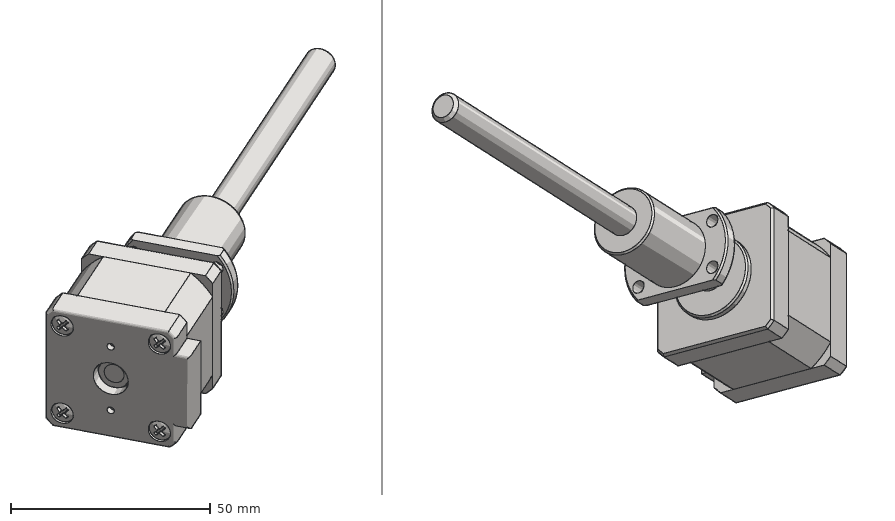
import cadquery as cq
import math


motor_width = 35.0
cap_diameter = 46.8
rear_edge_round = 1.0
front_edge_chamfer = 0.6
rear_cap_length = 8.0
stator_length = 19.5
front_cap_length = 7.2
stator_diameter = 42.0
pilot_diameter = 22.0
pilot_height = 1.9
small_chamfer = 0.5
stator_front = rear_cap_length + stator_length
motor_front = stator_front + front_cap_length
pilot_front = motor_front + pilot_height

tab_reach = 3.7
tab_height = 21.7

rear_bore_diameter = 9.3
rear_boss_diameter = 8.3
rear_boss_depth = 2.5
rear_groove_depth = 3.5
pin_hole_diameter = 1.9
pin_hole_depth = 1.9
pin_hole_offset = 9.4

cover_screw_offset = 13.0
head_diameter = 5.9
head_seat_depth = 3.0
head_edge_depth = 0.8
shank_diameter = 3.0
shank_length = 9.5
cross_length = 3.5
cross_width = 0.8
cross_depth = 1.3

rod_diameter = 8.0
rod_end = 159.6
rod_end_chamfer = 1.0
journal_diameter = 5.3

nut_rear = 48.7
nut_flange_thickness = 4.0
nut_flange_diameter = 31.0
nut_flange_height = 20.0
nut_barrel_diameter = 18.0
nut_barrel_length = 24.0
nut_hole_diameter = 3.4
nut_hole_circle = 25.5
nut_hole_angle = 30


def y_plane(y):
    """Sketch plane at height y: local x is X, local y is Z and extrusion runs toward +Y."""
    return cq.Workplane(cq.Plane(origin=(0, y, 0), xDir=(1, 0, 0), normal=(0, -1, 0)))


def cylinder(diameter, start, end):
    return y_plane(start).circle(diameter / 2).extrude(start - end)


def box_along_y(width, height, start, end):
    return y_plane(start).rect(width, height).extrude(start - end)


def rounded_square_block(diameter, start, end):
    """Square block whose corners are turned down to the given diameter."""
    return box_along_y(motor_width, motor_width, start, end).intersect(cylinder(diameter, start, end))


def cover_screw_places():
    return [(sx * cover_screw_offset, 0, sz * cover_screw_offset) for sx in (-1, 1) for sz in (-1, 1)]


def make_screw_blank():
    """Screw without its cross recess, on the Y axis, with the crown of the domed head at Y = 0."""
    radius = head_diameter / 2
    shank_radius = shank_diameter / 2
    dome_radius = (radius**2 + head_edge_depth**2) / (2 * head_edge_depth)
    mid_radius = radius / 2
    mid_depth = dome_radius - math.sqrt(dome_radius**2 - mid_radius**2)
    shank_end = head_seat_depth + shank_length
    return (
        cq.Workplane("XY")
        .moveTo(0, 0)
        .threePointArc((mid_radius, mid_depth), (radius, head_edge_depth))
        .lineTo(radius, head_seat_depth)
        .lineTo(shank_radius, head_seat_depth)
        .lineTo(shank_radius, shank_end)
        .lineTo(0, shank_end)
        .close()
        .revolve(360, (0, 0, 0), (0, 1, 0))
    )


def make_cover_screw():
    screw = make_screw_blank()
    for length, width in ((cross_length, cross_width), (cross_width, cross_length)):
        screw = screw.cut(box_along_y(length, width, 0, cross_depth).rotate((0, 0, 0), (0, 1, 0), 45))
    return screw


def cut_screw_holes(body):
    """Cut the stepped holes that take the cover screws."""
    shank_end = head_seat_depth + shank_length
    hole = cylinder(head_diameter, 0, head_seat_depth).union(cylinder(shank_diameter, 0, shank_end))
    for place in cover_screw_places():
        body = body.cut(hole.translate(place))
    return body


def make_front_cap():
    cap = rounded_square_block(cap_diameter, stator_front, motor_front)
    cap = cap.faces(">Y").edges().chamfer(front_edge_chamfer)
    pilot = cylinder(pilot_diameter, motor_front, pilot_front).faces(">Y").edges().chamfer(small_chamfer)
    return cap.union(pilot).cut(cylinder(journal_diameter, stator_front, pilot_front))


def make_stator():
    stator = rounded_square_block(stator_diameter, rear_cap_length, stator_front)
    stator = stator.cut(cylinder(journal_diameter, rear_cap_length, stator_front))
    return cut_screw_holes(stator)


def make_rear_cover():
    tab_width = motor_width / 2 + tab_reach
    tab = box_along_y(tab_width, tab_height, 0, rear_cap_length).translate((tab_width / 2, 0, 0))
    cover = rounded_square_block(cap_diameter, 0, rear_cap_length).union(tab)
    cover = cover.faces("<Y").edges().fillet(rear_edge_round)
    cover = cover.cut(cylinder(journal_diameter, 0, rear_cap_length))
    boss = cylinder(rear_boss_diameter, rear_boss_depth, rear_groove_depth)
    cover = cover.cut(cylinder(rear_bore_diameter, 0, rear_groove_depth).cut(boss))
    pin_hole = cylinder(pin_hole_diameter, 0, pin_hole_depth)
    for side in (-1, 1):
        cover = cover.cut(pin_hole.translate((0, 0, side * pin_hole_offset)))
    return cut_screw_holes(cover)


def make_rod():
    rod = cylinder(rod_diameter, pilot_front, rod_end).faces(">Y").edges().chamfer(rod_end_chamfer)
    return rod.union(cylinder(journal_diameter, rear_boss_depth, pilot_front))


def make_nut():
    flange_front = nut_rear + nut_flange_thickness
    flange = cylinder(nut_flange_diameter, nut_rear, flange_front).edges().chamfer(small_chamfer)
    flange = flange.intersect(box_along_y(nut_flange_diameter, nut_flange_height, nut_rear, flange_front))
    hole = cylinder(nut_hole_diameter, nut_rear, flange_front).translate((nut_hole_circle / 2, 0, 0))
    for angle in (nut_hole_angle, 180 - nut_hole_angle, 180 + nut_hole_angle, -nut_hole_angle):
        flange = flange.cut(hole.rotate((0, 0, 0), (0, 1, 0), angle))
    barrel = cylinder(nut_barrel_diameter, flange_front, flange_front + nut_barrel_length)
    barrel = barrel.faces(">Y").edges().chamfer(small_chamfer)
    return flange.union(barrel)


def make_drive_screw():
    """Rod, journal and flanged nut as one solid."""
    return make_rod().union(make_nut())


front_cap = make_front_cap()
stator = make_stator()
rear_cover = make_rear_cover()
drive_screw = make_drive_screw()
cover_screws = [make_cover_screw().translate(place) for place in cover_screw_places()]

result = cq.Compound.makeCompound(
    [front_cap.val(), stator.val(), rear_cover.val(), drive_screw.val()]
    + [screw.val() for screw in cover_screws]
)